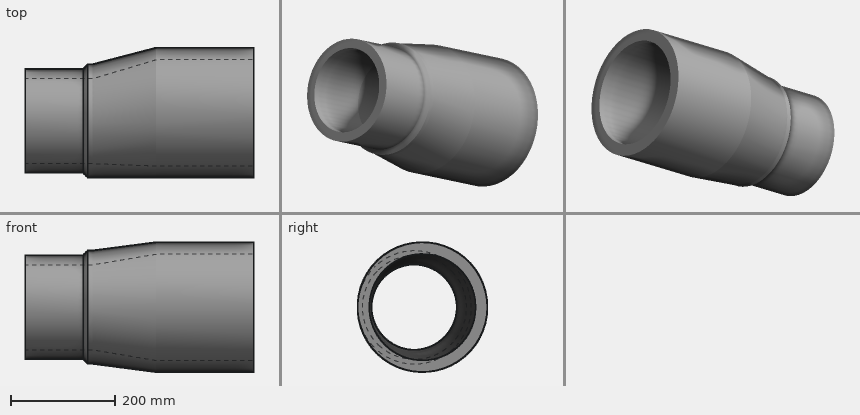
import cadquery as cq


small_outer_diameter = 200.0
large_outer_diameter = 250.0
small_wall = 18.2
large_wall = 22.7
small_bore_diameter = small_outer_diameter - 2 * small_wall
large_bore_diameter = large_outer_diameter - 2 * large_wall

collar_height = small_wall / 2
collar_diameter = small_outer_diameter + 2 * collar_height

total_length = 440.0
large_spigot_length = 188.0
taper_start = 130.0
taper_end = total_length - large_spigot_length
collar_start = taper_start - collar_height
chamfer_start = collar_start - collar_height

large_axis_y = 0.0
small_axis_y = large_axis_y - (large_outer_diameter - collar_diameter) / 2


def cylinder(x_start, x_end, axis_y, diameter):
    """Straight round bar along X."""
    plane = cq.Workplane("YZ", origin=(x_start, axis_y, 0))
    return plane.circle(diameter / 2).extrude(x_end - x_start)


def cone(x_start, x_end, start_axis_y, end_axis_y, start_diameter, end_diameter):
    """Ruled solid between two circles, which may be offset in Y."""
    return (
        cq.Workplane("YZ", origin=(x_start, start_axis_y, 0))
        .circle(start_diameter / 2)
        .workplane(offset=x_end - x_start)
        .center(end_axis_y - start_axis_y, 0)
        .circle(end_diameter / 2)
        .loft(ruled=True)
    )


def eccentric_taper(small_diameter, large_diameter):
    """Taper from the small axis to the large axis."""
    return cone(taper_start, taper_end, small_axis_y, large_axis_y, small_diameter, large_diameter)


def outer_body():
    spigot = cylinder(0, chamfer_start, small_axis_y, small_outer_diameter)
    chamfer = cone(
        chamfer_start, collar_start, small_axis_y, small_axis_y, small_outer_diameter, collar_diameter
    )
    collar = cylinder(collar_start, taper_start, small_axis_y, collar_diameter)
    taper = eccentric_taper(collar_diameter, large_outer_diameter)
    large_spigot = cylinder(taper_end, total_length, large_axis_y, large_outer_diameter)
    return spigot.union(chamfer).union(collar).union(taper).union(large_spigot)


def bore():
    small_bore = cylinder(0, taper_start, small_axis_y, small_bore_diameter)
    taper_bore = eccentric_taper(small_bore_diameter, large_bore_diameter)
    large_bore = cylinder(taper_end, total_length, large_axis_y, large_bore_diameter)
    return small_bore.union(taper_bore).union(large_bore)


result = outer_body().cut(bore())